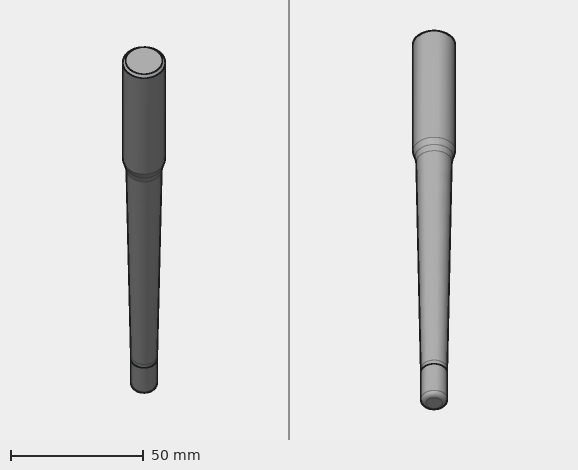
import cadquery as cq

total_length = 180.0
split_height = 15.1
taper_start = 17.1
taper_end = 120.2
step_height = 123.0
shank_start = 125.8

shank_diameter = 16.0
step_diameter = 14.4
taper_top_diameter = 13.5
tip_diameter = 10.0
shank_chamfer = 1.0
corner_radius = 2.0

shank_radius = shank_diameter / 2
step_radius = step_diameter / 2
taper_top_radius = taper_top_diameter / 2
tip_radius = tip_diameter / 2


def make_tip():
    """Cylindrical cutting tip with a rounded lower corner."""
    blank = cq.Workplane("XY").circle(tip_radius).extrude(split_height)
    return blank.faces("<Z").edges().fillet(corner_radius)


def make_shaft():
    """Straight neck, long taper, two-stage shoulder and chamfered shank."""
    profile = (
        cq.Workplane("XZ")
        .moveTo(0, split_height)
        .lineTo(tip_radius, split_height)
        .lineTo(tip_radius, taper_start)
        .lineTo(taper_top_radius, taper_end)
        .lineTo(step_radius, step_height)
        .lineTo(shank_radius, shank_start)
        .lineTo(shank_radius, total_length - shank_chamfer)
        .lineTo(shank_radius - shank_chamfer, total_length)
        .lineTo(0, total_length)
        .close()
    )
    return profile.revolve(360, (0, 0), (0, 1))


tip = make_tip()
shaft = make_shaft()
result = cq.Compound.makeCompound([tip.val(), shaft.val()])